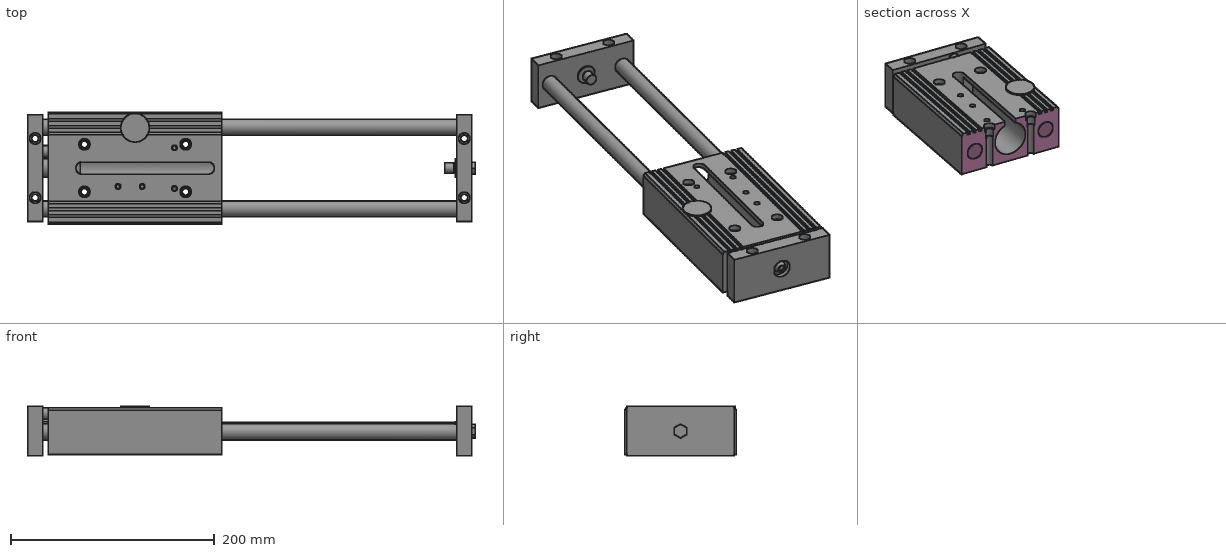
import cadquery as cq
import math


total_length = 440.0
total_height = 49.0

plate_length = 15.0
plate_width = 105.0
far_plate_start = 421.5
far_plate_end = far_plate_start + plate_length
plate_hole_pitch = 58.0
plate_cbore_diameter = 11.0
plate_cbore_depth = 8.0
plate_hole_diameter = 6.5

rod_diameter = 16.0
rod_pitch = 80.0
rear_rod_height = 1.0
front_rod_height = -rear_rod_height
piston_rod_diameter = 12.0
piston_rod_y = 16.5
piston_rod_z = 17.0

plate_gap = 5.5
housing_start = plate_length + plate_gap
housing_length = 170.8
housing_end = housing_start + housing_length
housing_middle = housing_start + housing_length / 2
housing_width = 110.0
housing_height = 46.0
housing_top = housing_height / 2
edge_bevel_width = 1.8
edge_bevel_height = 2.5

groove_count = 3
groove_width = 2.5
groove_depth = 2.5
groove_pitch = 6.5
first_groove_offset = 34.0

bore_diameter = 34.0
bore_height = 2.0
bore_start = 52.0
slot_start = 47.5
slot_end = 183.5
slot_width = 12.0

cover_diameter = 28.0
cover_offset = 39.5

mount_pitch_x = 99.5
mount_pitch_y = 46.5
mount_cbore_diameter = 11.0
mount_cbore_depth = 5.5
mount_thread_diameter = 8.0
mount_thread_depth = 13.0
mount_core_diameter = 6.5

small_hole_diameter = 5.5
small_core_diameter = 4.15
small_thread_depth = 4.5
small_core_depth = 6.5
drill_point_angle = 118.0
end_pair_x = 144.5
end_pair_offset = 20.02
side_pair_x = 89.0
side_pair_pitch = 23.8
side_pair_offset = 18.0

stop_diameter = 18.5
stop_recess_diameter = 17.5
stop_recess_depth = 5.5
stop_screw_diameter = 12.0
stop_screw_tip_diameter = 8.0
stop_screw_height = stop_recess_depth
stop_socket_diameter = 6.5
stop_socket_depth = 2.5

flange_length = 1.5
neck_length = 1.8
neck_diameter = 8.0
tip_start = 409.7
tip_diameter = 10.5
screw_head_flats = 12.0


def cylinder_x(diameter, start, end, y=0.0, z=0.0):
    """Cylinder along X between two X positions."""
    return cq.Workplane("YZ", origin=(start, y, z)).circle(diameter / 2).extrude(end - start)


def drill_down(diameter, x, y, top, depth):
    """Cylinder of the given depth below the level `top`, for cutting."""
    return cq.Workplane("XY", origin=(x, y, top)).circle(diameter / 2).extrude(-depth)


def guide_rods():
    """Rear rod on the +Y side and front rod on the -Y side, from plate to plate."""
    rear = cylinder_x(rod_diameter, plate_length, far_plate_start, rod_pitch / 2, rear_rod_height)
    front = cylinder_x(rod_diameter, plate_length, far_plate_start, -rod_pitch / 2, front_rod_height)
    return rear.union(front)


def housing_block():
    """Block with bevelled upper edges and grooves along the top."""
    half_width = housing_width / 2
    block = (
        cq.Workplane("YZ", origin=(housing_start, 0, 0))
        .moveTo(-half_width, -housing_top)
        .lineTo(half_width, -housing_top)
        .lineTo(half_width, housing_top - edge_bevel_height)
        .lineTo(half_width - edge_bevel_width, housing_top)
        .lineTo(-half_width + edge_bevel_width, housing_top)
        .lineTo(-half_width, housing_top - edge_bevel_height)
        .close()
        .extrude(housing_length)
    )
    for side in (-1, 1):
        for index in range(groove_count):
            y = side * (first_groove_offset + index * groove_pitch)
            groove = (
                cq.Workplane("XY", origin=(housing_middle, y, housing_top))
                .rect(housing_length, groove_width)
                .extrude(-groove_depth)
            )
            block = block.cut(groove)
    return block


def slot():
    """Round-ended slot from the top down into the bore."""
    return (
        cq.Workplane("XY", origin=((slot_start + slot_end) / 2, 0, bore_height))
        .slot2D(slot_end - slot_start, slot_width)
        .extrude(housing_top - bore_height)
    )


def mount_hole(x, y):
    """Counterbored threaded hole through the housing."""
    hole = drill_down(mount_core_diameter, x, y, housing_top, housing_height)
    hole = hole.union(drill_down(mount_thread_diameter, x, y, housing_top, mount_thread_depth))
    return hole.union(drill_down(mount_cbore_diameter, x, y, housing_top, mount_cbore_depth))


def small_hole(x, y):
    """Stepped blind hole with a conical drill point."""
    core_radius = small_core_diameter / 2
    point_height = core_radius / math.tan(math.radians(drill_point_angle / 2))
    hole = drill_down(small_hole_diameter, x, y, housing_top, small_thread_depth)
    hole = hole.union(drill_down(small_core_diameter, x, y, housing_top, small_core_depth))
    point = cq.Solid.makeCone(
        core_radius, 0, point_height, cq.Vector(x, y, housing_top - small_core_depth), cq.Vector(0, 0, -1)
    )
    return hole.union(cq.Workplane(point))


def make_housing():
    housing = housing_block()
    housing = housing.cut(cylinder_x(bore_diameter, bore_start, housing_end, z=bore_height))
    housing = housing.cut(slot())
    for x_side in (-1, 1):
        for y_side in (-1, 1):
            x = housing_middle + x_side * mount_pitch_x / 2
            housing = housing.cut(mount_hole(x, y_side * mount_pitch_y / 2))
    for side in (-1, 1):
        housing = housing.cut(small_hole(end_pair_x, side * end_pair_offset))
    for index in range(2):
        housing = housing.cut(small_hole(side_pair_x + index * side_pair_pitch, -side_pair_offset))
    cover = (
        cq.Workplane("XY", origin=(housing_middle, cover_offset, housing_top))
        .circle(cover_diameter / 2)
        .extrude(total_height / 2 - housing_top)
    )
    return housing.union(cover).cut(guide_rods())


def end_plate(start):
    """Plate with two counterbored vertical through holes."""
    middle = start + plate_length / 2
    plate_top = total_height / 2
    plate = cq.Workplane("XY", origin=(middle, 0, 0)).box(plate_length, plate_width, total_height)
    for side in (-1, 1):
        y = side * plate_hole_pitch / 2
        plate = plate.cut(drill_down(plate_hole_diameter, middle, y, plate_top, total_height))
        plate = plate.cut(drill_down(plate_cbore_diameter, middle, y, plate_top, plate_cbore_depth))
    return plate


def stop_screw_end():
    """Tapered screw end with a round socket, standing on the floor of the stop recess."""
    cone = cq.Solid.makeCone(
        stop_screw_diameter / 2,
        stop_screw_tip_diameter / 2,
        stop_screw_height,
        cq.Vector(stop_recess_depth, 0, 0),
        cq.Vector(-1, 0, 0),
    )
    tip = stop_recess_depth - stop_screw_height
    return cq.Workplane(cone).cut(cylinder_x(stop_socket_diameter, tip, tip + stop_socket_depth))


def adjusting_screw():
    """Tip, neck and flange in front of the far plate, hexagon head behind it."""
    flange_start = far_plate_start - flange_length
    neck_start = flange_start - neck_length
    screw = cylinder_x(tip_diameter, tip_start, neck_start)
    screw = screw.union(cylinder_x(neck_diameter, neck_start, flange_start))
    screw = screw.union(cylinder_x(stop_diameter, flange_start, far_plate_start))
    head = (
        cq.Workplane("YZ", origin=(far_plate_end, 0, 0))
        .polygon(6, screw_head_flats, circumscribed=True)
        .extrude(total_length - far_plate_end)
    )
    return screw, head


def make_yoke():
    near_plate = end_plate(0)
    near_plate = near_plate.cut(cylinder_x(stop_recess_diameter, 0, stop_recess_depth))
    near_plate = near_plate.union(stop_screw_end())
    stop = cylinder_x(stop_diameter, plate_length, housing_start)
    piston_rod = cylinder_x(
        piston_rod_diameter, plate_length, housing_start, piston_rod_y, piston_rod_z
    )
    screw, head = adjusting_screw()
    yoke = near_plate.union(end_plate(far_plate_start)).union(guide_rods())
    return yoke.union(stop).union(piston_rod).union(screw).union(head)


housing = make_housing()
yoke = make_yoke()

result = cq.Compound.makeCompound([housing.val(), yoke.val()])